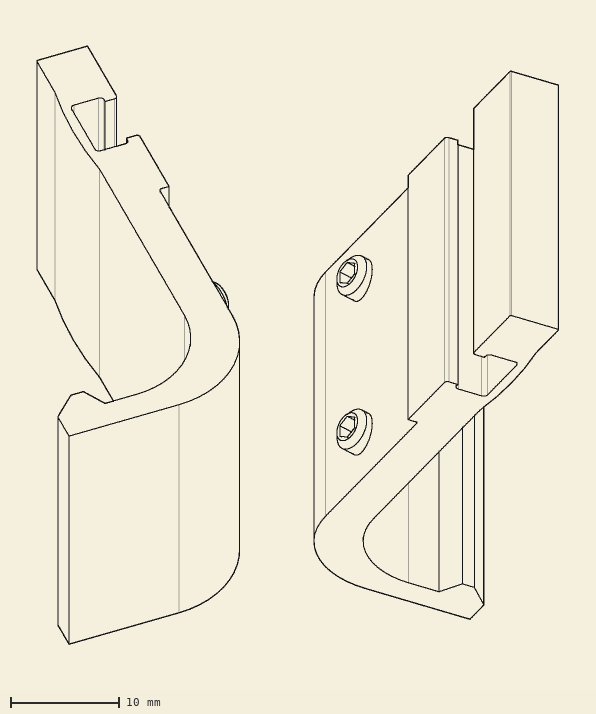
import math

import cadquery as cq

length = 47.0
depth = 21.0
height = 27.0

pad_length = 20.0
pad_thickness = 5.1
step = 1.0
step_fillet = 0.2
pad_end_fillet = 0.1

leg_thickness = 2.75
outer_radius = 9.0
inner_radius = 8.0

hook_reach = 2.2
hook_flat = 1.25
hook_flank_angle = 30.0

slot_center = 10.0
slot_mouth_width = 5.2
slot_width = 6.5
slot_depth = 4.5
lip_thickness = 1.25
slot_fillet = 0.4
lip_fillet = 0.3
bulge_width = 11.0
bulge_height = 0.4

screw_diameter = 4.0
screw_tilt = 15.0
screw_chamfer = 0.6
screw_length = 4.0
screw_face_x = 30.45
screw_face_y = 0.775
screw_end_offset = 5.0
socket_sides = 6
socket_across_flats = 2.0
socket_depth = 1.5


def make_bracket():
    """Extruded L profile with corner bend, hook, bulge and softened pad end."""
    inner_x = length - leg_thickness
    hook_tip_x = inner_x - hook_reach
    hook_lower_y = -depth + hook_reach
    hook_upper_y = hook_lower_y + hook_flat
    hook_root_y = hook_upper_y + hook_reach * math.tan(math.radians(hook_flank_angle))
    diagonal = math.cos(math.radians(45))
    outer_center = (length - outer_radius, -step - outer_radius)
    inner_center = (inner_x - inner_radius, -pad_thickness - inner_radius)

    def arc_middle(center, radius):
        return (center[0] + radius * diagonal, center[1] + radius * diagonal)

    return (
        cq.Workplane("XY")
        .moveTo(0, 0)
        .lineTo(pad_length, 0)
        .lineTo(pad_length, -step + step_fillet)
        .radiusArc((pad_length + step_fillet, -step), -step_fillet)
        .lineTo(outer_center[0], -step)
        .threePointArc(arc_middle(outer_center, outer_radius), (length, outer_center[1]))
        .lineTo(length, -depth)
        .lineTo(inner_x, -depth)
        .lineTo(hook_tip_x, hook_lower_y)
        .lineTo(hook_tip_x, hook_upper_y)
        .lineTo(inner_x, hook_root_y)
        .lineTo(inner_x, inner_center[1])
        .threePointArc(arc_middle(inner_center, inner_radius), (inner_center[0], -pad_thickness))
        .lineTo(slot_center + bulge_width / 2, -pad_thickness)
        .threePointArc(
            (slot_center, -pad_thickness - bulge_height),
            (slot_center - bulge_width / 2, -pad_thickness),
        )
        .lineTo(0, -pad_thickness)
        .close()
        .extrude(height)
        .edges("|Z and <X")
        .fillet(pad_end_fillet)
    )


def cut_slot(body):
    """Cut the T-slot along Z, with rounded chamber corners and outer lip edges."""
    mouth = (
        cq.Workplane("XY")
        .center(slot_center, -slot_depth / 2)
        .rect(slot_mouth_width, slot_depth)
        .extrude(height)
    )
    chamber_depth = slot_depth - lip_thickness
    chamber = (
        cq.Workplane("XY")
        .center(slot_center, -lip_thickness - chamber_depth / 2)
        .rect(slot_width, chamber_depth)
        .extrude(height)
        .edges("|Z")
        .fillet(slot_fillet)
    )
    body = body.cut(mouth).cut(chamber)
    for side in (-1, 1):
        lip_x = slot_center + side * slot_mouth_width / 2
        lip_edge = cq.selectors.NearestToPointSelector((lip_x, 0, height / 2))
        body = body.edges(lip_edge).fillet(lip_fillet)
    return body


def make_screw(z):
    """Chamfered set screw tilted toward -X, and the hex socket to cut from it."""
    tilt = math.radians(screw_tilt)
    axis = cq.Vector(-math.sin(tilt), math.cos(tilt), 0)
    face_center = cq.Vector(screw_face_x, screw_face_y, z)
    end_plane = cq.Plane(origin=face_center.toTuple(), xDir=(0, 0, 1), normal=axis.toTuple())
    socket_diameter = socket_across_flats / math.cos(math.pi / socket_sides)
    screw = (
        cq.Workplane(end_plane)
        .circle(screw_diameter / 2)
        .extrude(-screw_length)
        .faces(cq.selectors.DirectionMinMaxSelector(axis, True))
        .chamfer(screw_chamfer)
    )
    socket = cq.Workplane(end_plane).polygon(socket_sides, socket_diameter).extrude(-socket_depth)
    return screw, socket


result = cut_slot(make_bracket())
for screw_z in (screw_end_offset, height - screw_end_offset):
    screw_body, screw_socket = make_screw(screw_z)
    result = result.union(screw_body).cut(screw_socket)